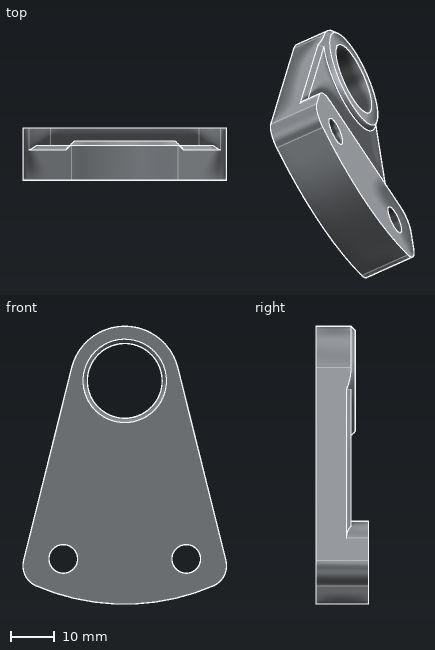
import cadquery as cq
import math


head_radius = 12.5
bottom_radius = 51.0
corner_radius = 5.0
side_angle = math.radians(14)

edge_step = 1.0
foot_thickness = 12.0
plate_thickness = 8.0
boss_height = plate_thickness + edge_step

foot_top = -32.0
foot_corner_radius = 5.0

bore_radius = 8.5
bolt_hole_radius = 3.25
bolt_circle_radius = 43.0
bolt_hole_x = 14.05
bolt_hole_z = -math.sqrt(bolt_circle_radius**2 - bolt_hole_x**2)


def polar(radius, angle_from_down):
    """Point in XZ at an angle measured from straight down towards +X."""
    return radius * math.sin(angle_from_down), -radius * math.cos(angle_from_down)


def mirrored(point):
    return -point[0], point[1]


def extruded_outline(thickness):
    """Fan outline: round head, tangent sides, rounded corners and an arc bottom."""
    corner_distance = bottom_radius - corner_radius
    corner_angle = side_angle + math.asin((head_radius - corner_radius) / corner_distance)
    corner_x, corner_z = polar(corner_distance, corner_angle)

    def on_corner(angle_from_down):
        x, z = polar(corner_radius, angle_from_down)
        return corner_x + x, corner_z + z

    side_normal = math.pi / 2 + side_angle
    head_end = polar(head_radius, side_normal)
    side_end = on_corner(side_normal)
    corner_middle = on_corner((side_normal + corner_angle) / 2)
    bottom_end = on_corner(corner_angle)
    return (
        cq.Workplane("XZ")
        .moveTo(*mirrored(head_end))
        .threePointArc((0, head_radius), head_end)
        .lineTo(*side_end)
        .threePointArc(corner_middle, bottom_end)
        .threePointArc((0, -bottom_radius), mirrored(bottom_end))
        .threePointArc(mirrored(corner_middle), mirrored(side_end))
        .close()
        .extrude(-thickness)
    )


def make_plate():
    """Plate with a bevel around its back face."""
    return extruded_outline(plate_thickness).faces(">Y").chamfer(edge_step)


def make_boss():
    """Conical boss on the back, trimmed to the outline where it runs past the sides."""
    cone_base_radius = head_radius + edge_step
    cone_top_radius = head_radius - edge_step
    cone_base_y = plate_thickness - edge_step
    cone = cq.Workplane("XY").polyline([
        (0, 0),
        (cone_base_radius, 0),
        (cone_base_radius, cone_base_y),
        (cone_top_radius, boss_height),
        (0, boss_height),
    ]).close().revolve(360, (0, 0), (0, 1))
    return extruded_outline(boss_height).intersect(cone)


def make_foot():
    """Thick lower end of the fan with rounded upper corners."""
    lower_half_space = (
        cq.Workplane("XY")
        .box(2 * bottom_radius, 2 * foot_thickness, bottom_radius)
        .translate((0, 0, foot_top - bottom_radius / 2))
    )
    foot = extruded_outline(foot_thickness).intersect(lower_half_space)
    return foot.faces(">Z").edges("|Y").fillet(foot_corner_radius)


def make_holes():
    """Bore with a countersunk front rim, plus two bolt holes through the foot."""
    bore = cq.Workplane("XZ").circle(bore_radius).extrude(-boss_height)
    bore = bore.faces("<Y").workplane().circle(bore_radius + edge_step).workplane(
        offset=-edge_step
    ).circle(bore_radius).loft(combine=True)
    bolt_holes = (
        cq.Workplane("XZ")
        .pushPoints([(-bolt_hole_x, bolt_hole_z), (bolt_hole_x, bolt_hole_z)])
        .circle(bolt_hole_radius)
        .extrude(-foot_thickness)
    )
    return bore.union(bolt_holes)


result = make_plate().union(make_boss()).union(make_foot()).cut(make_holes())